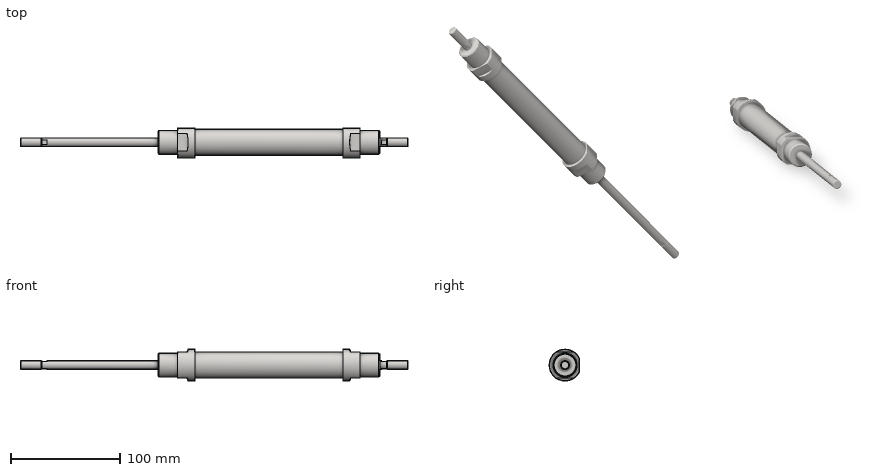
import cadquery as cq
import math


mount_span = 167.0
barrel_dia = 24.0
nose_dia = 22.0
nose_len = 18.0
nose_chamfer = 1.0
collar_dia = 29.0
collar_len = 15.8
side_flat_y = 13.1
wrench_across = 24.0
wrench_len = 8.6
wrench_bulge = 1.0

stroke = 100.0
rod_dia = 8.0
rod_free_len = 24.0
thread_len = 20.0
tip_chamfer = 0.6
relief_dia = 7.6
relief_len = 1.0
rod_across = 7.0
rod_flat_len = 4.5

mount_x = mount_span / 2
barrel_end_x = mount_x - collar_len
nose_end_x = mount_x + nose_len


def x_cylinder(dia, start, end):
    """Cylinder on the X axis from start to end."""
    return cq.Workplane("YZ").workplane(offset=start).circle(dia / 2).extrude(end - start)


def wrench_flat_cut(side):
    """Material above (side=1) or below (side=-1) the rear collar wrench flat."""
    half_width = math.sqrt(collar_dia**2 - wrench_across**2) / 2
    inner_x = mount_x - wrench_len
    depth = collar_dia - wrench_across
    return (
        cq.Workplane("XY")
        .workplane(offset=side * wrench_across / 2)
        .moveTo(mount_x, -half_width)
        .lineTo(inner_x, -half_width)
        .threePointArc((inner_x - wrench_bulge, 0), (inner_x, half_width))
        .lineTo(mount_x, half_width)
        .close()
        .extrude(side * depth)
    )


def make_cover():
    """Rear (+X) end cover: flatted collar and round nose, bored for the rod."""
    nose = x_cylinder(nose_dia, mount_x, nose_end_x).faces(">X").chamfer(nose_chamfer)
    side_cut = cq.Workplane("XY").box(
        collar_len, collar_dia, collar_dia, centered=(False, False, True)
    ).translate((barrel_end_x, side_flat_y, 0))
    collar = x_cylinder(collar_dia, barrel_end_x, mount_x).cut(side_cut)
    for side in (1, -1):
        collar = collar.cut(wrench_flat_cut(side))
    bore = x_cylinder(rod_dia, barrel_end_x, nose_end_x)
    return collar.union(nose).cut(bore)


def make_rod(extension):
    """Rear (+X) rod from the barrel end out to its threaded tip."""
    shoulder_x = mount_x + rod_free_len + extension
    tip_x = shoulder_x + thread_len
    rod = x_cylinder(rod_dia, barrel_end_x, tip_x).faces(">X").chamfer(tip_chamfer)
    groove = x_cylinder(rod_dia, shoulder_x, shoulder_x + relief_len).cut(
        x_cylinder(relief_dia, shoulder_x, shoulder_x + relief_len)
    )
    rod = rod.cut(groove)
    for side in (1, -1):
        flat_cut = cq.Workplane("XY").box(rod_flat_len, rod_dia, rod_dia).translate(
            (shoulder_x - rod_flat_len / 2, 0, side * (rod_across + rod_dia) / 2)
        )
        rod = rod.cut(flat_cut)
    return rod


barrel = x_cylinder(barrel_dia, -barrel_end_x, barrel_end_x)
rear_cover = make_cover()
front_cover = rear_cover.mirror("YZ")
rear_rod = make_rod(0)
front_rod = make_rod(stroke).mirror("YZ")

result = cq.Compound.makeCompound(
    [barrel.val(), front_cover.val(), rear_cover.val(), front_rod.val(), rear_rod.val()]
)